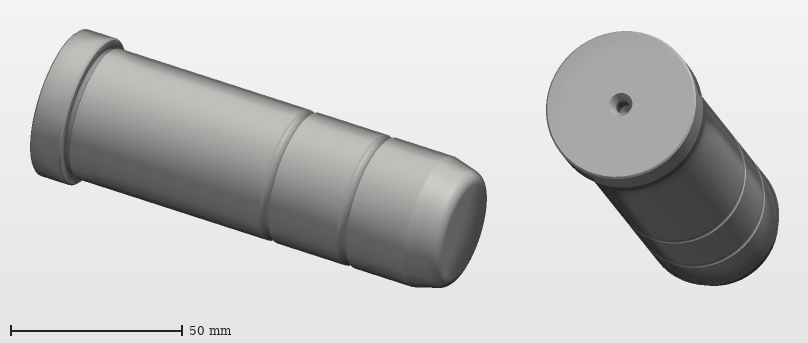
import cadquery as cq
import math

length = 130.0
head_diameter = 45.0
head_length = 10.0
head_chamfer = 0.5
body_radius = 20.0

neck_radius = 19.4
neck_end = 11.5
neck_taper_length = 0.4

groove_centers = (74.9, 100.0)
groove_width = 3.0
groove_depth = 0.8

nose_length = 10.0
nose_angle = math.radians(15)
nose_round = 3.6

countersink_radius = 3.5
drill_radius = 2.0
countersink_half_angle = math.radians(30)
drill_depth = 7.8
drill_point_half_angle = math.radians(59)


def make_pin():
    """Revolve the headed pin, leaving the nose edge sharp."""
    head_radius = head_diameter / 2
    nose_end_radius = body_radius - nose_length * math.tan(nose_angle)
    profile = (
        cq.Workplane("XY")
        .lineTo(0, head_radius - head_chamfer)
        .lineTo(head_chamfer, head_radius)
        .lineTo(head_length - head_chamfer, head_radius)
        .lineTo(head_length, head_radius - head_chamfer)
        .lineTo(head_length, neck_radius)
        .lineTo(neck_end, neck_radius)
        .lineTo(neck_end + neck_taper_length, body_radius)
        .lineTo(length - nose_length, body_radius)
        .lineTo(length, nose_end_radius)
        .lineTo(length, 0)
        .close()
    )
    return profile.revolve(360, (0, 0, 0), (1, 0, 0))


def make_groove(center):
    """Ring whose inner side is an arc dipping below the body surface."""
    half_width = groove_width / 2
    outer_radius = body_radius + groove_depth
    return (
        cq.Workplane("XY")
        .moveTo(center - half_width, outer_radius)
        .lineTo(center - half_width, body_radius)
        .threePointArc((center, body_radius - groove_depth), (center + half_width, body_radius))
        .lineTo(center + half_width, outer_radius)
        .close()
        .revolve(360, (0, 0, 0), (1, 0, 0))
    )


def make_center_hole():
    """Countersink, straight bore and conical drill point."""
    countersink_depth = (countersink_radius - drill_radius) / math.tan(countersink_half_angle)
    point_depth = drill_radius / math.tan(drill_point_half_angle)
    return (
        cq.Workplane("XY")
        .lineTo(0, countersink_radius)
        .lineTo(countersink_depth, drill_radius)
        .lineTo(drill_depth, drill_radius)
        .lineTo(drill_depth + point_depth, 0)
        .close()
        .revolve(360, (0, 0, 0), (1, 0, 0))
    )


result = make_pin().faces(">X").edges().fillet(nose_round)
for groove_center in groove_centers:
    result = result.cut(make_groove(groove_center))
result = result.cut(make_center_hole())